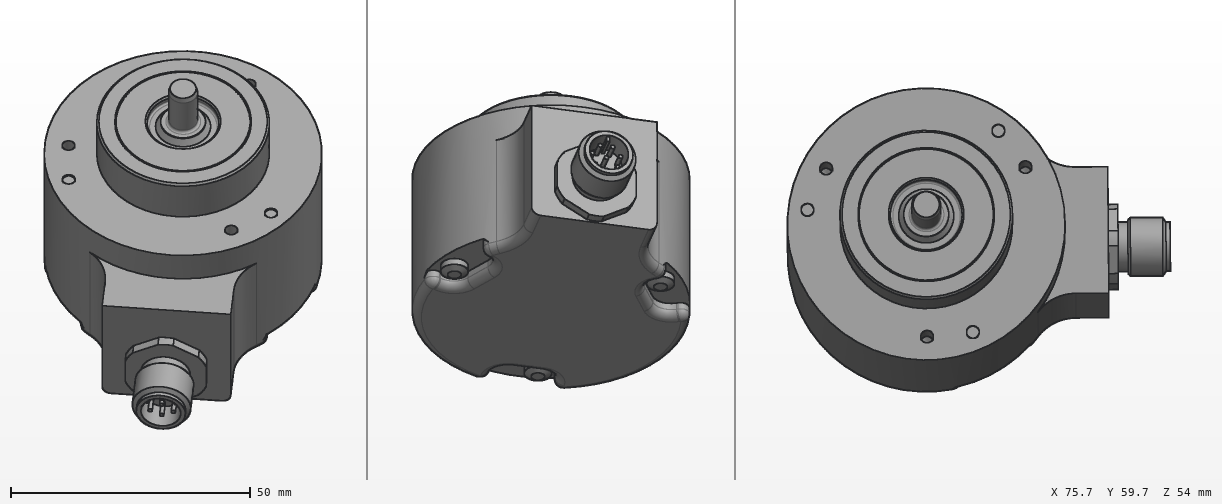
import cadquery as cq
import math

ARM_ANGLE = -30.0

RING_COUNT = 3
RING_STEP = 360.0 / RING_COUNT

body_radius = 29.0
body_height = 34.1
bottom_fillet = 1.9
boss_radius = 18.0
boss_top = 43.95
boss_chamfer = 0.45

gap_outer_radius = 14.25
gap_width = 0.2
gap_depth = 0.4

recess_radius = 7.5
recess_depth = 1.6
recess_chamfer = 0.4
recess_fillet = 0.45
hub_top_radius = 4.7
hub_base_radius = 5.75
hub_cone_top_depth = 0.2

shaft_radius = 3.0
shaft_top = 54.0
shaft_chamfer_radial = 0.3
shaft_chamfer_length = 1.05
shaft_root_fillet = 0.6

arm_end = 38.0
arm_half_width = 13.5
arm_height = 26.9
arm_blend_radius = 10.0

pocket_height = 3.3
pocket_back = 21.2
pocket_half_width = 7.05
pocket_corner_radius = 4.0
pocket_lip_radius = 2.0
pocket_overshoot = 3.8
pocket_roof_half_width = 8.55
pocket_first_angle = -60.0

screw_circle_radius = 25.0
screw_first_angle = -67.5
screw_head_radius = 2.9
screw_head_height = 1.45
screw_tip_radius = 1.45
screw_tip_height = 0.75
screw_hole_depth = 0.4

hole_diameter = 2.65
hole_radius = hole_diameter / 2
tapped_circle_radius = 24.0
tapped_first_angle = 30.0
tapped_depth = 6.05
drill_tip_angle = 118.0

connector_height = 9.4
nut_apothem = 8.5
nut_corner_radius = 9.0
nut_end = 40.1
neck_radius = 5.2
collar_start = 42.1
collar_radius = 5.6
collar_end = 42.65
barrel_radius = 6.1
barrel_end = 49.4
tip_start = 50.1
tip_radius = 5.15
tip_end = 51.0
socket_radius = 4.2
socket_bottom = 45.45

pin_count = 7
pin_circle_radius = 3.1
pin_radius = 0.45
pin_end = 48.9
key_width = 0.6
key_height = 1.3
key_overlap = 0.15
key_end = 50.4


def polar(radius, angle):
    return (radius * math.cos(math.radians(angle)), radius * math.sin(math.radians(angle)))


def ring_places(radius, first_angle):
    return [polar(radius, first_angle + i * RING_STEP) for i in range(RING_COUNT)]


def cylinder(radius, bottom, top):
    return cq.Workplane("XY").workplane(offset=bottom).circle(radius).extrude(top - bottom)


def arm():
    """Block whose sides blend into the round body with concave arcs."""
    centre_y = arm_half_width + arm_blend_radius
    centre_distance = body_radius + arm_blend_radius
    centre_x = math.sqrt(centre_distance**2 - centre_y**2)
    touch_angle = math.degrees(math.atan2(centre_y, centre_x))
    touch_x, touch_y = polar(body_radius, touch_angle)
    middle_angle = (touch_angle + 180.0 + 270.0) / 2
    step_x, step_y = polar(arm_blend_radius, middle_angle)
    middle_x = centre_x + step_x
    middle_y = centre_y + step_y
    return (
        cq.Workplane("XY")
        .moveTo(0, 0)
        .lineTo(touch_x, -touch_y)
        .threePointArc((middle_x, -middle_y), (centre_x, -arm_half_width))
        .lineTo(arm_end, -arm_half_width)
        .lineTo(arm_end, arm_half_width)
        .lineTo(centre_x, arm_half_width)
        .threePointArc((middle_x, middle_y), (touch_x, touch_y))
        .close()
        .extrude(arm_height)
    )


def screw_pocket(angle):
    """Cutter for a rounded pocket whose lips run smoothly into the rim of the body."""
    lip_y = pocket_half_width + pocket_lip_radius
    lip_x = math.sqrt((body_radius - pocket_lip_radius) ** 2 - lip_y**2)
    lip_angle = math.degrees(math.atan2(lip_y, lip_x))
    rim_x, rim_y = polar(body_radius, lip_angle)
    outer_x, outer_y = polar(body_radius + pocket_overshoot, lip_angle)
    step_x, step_y = polar(pocket_lip_radius, (lip_angle - 90.0) / 2)
    corner_x = pocket_back + pocket_corner_radius
    corner_y = pocket_half_width - pocket_corner_radius
    bend_step_x, bend_step_y = polar(pocket_corner_radius, 135.0)
    bend_x = corner_x + bend_step_x
    bend_y = corner_y + bend_step_y
    outline = (
        cq.Workplane("XY")
        .moveTo(outer_x, outer_y)
        .lineTo(rim_x, rim_y)
        .threePointArc((lip_x + step_x, lip_y + step_y), (lip_x, pocket_half_width))
        .lineTo(corner_x, pocket_half_width)
        .threePointArc((bend_x, bend_y), (pocket_back, corner_y))
        .lineTo(pocket_back, -corner_y)
        .threePointArc((bend_x, -bend_y), (corner_x, -pocket_half_width))
        .lineTo(lip_x, -pocket_half_width)
        .threePointArc((lip_x + step_x, -lip_y - step_y), (rim_x, -rim_y))
        .lineTo(outer_x, -outer_y)
        .close()
        .extrude(pocket_height)
    )
    bottom_half_width = pocket_roof_half_width + pocket_height
    leaning_sides = (
        cq.Workplane("YZ")
        .moveTo(-bottom_half_width, 0)
        .lineTo(bottom_half_width, 0)
        .lineTo(pocket_roof_half_width, pocket_height)
        .lineTo(-pocket_roof_half_width, pocket_height)
        .close()
        .extrude(body_radius + pocket_overshoot)
    )
    return outline.intersect(leaning_sides).rotate((0, 0, 0), (0, 0, 1), angle)


def housing():
    """Round body with its arm and screw pockets, rounded along the bottom except at the arm end."""
    shape = cylinder(body_radius, 0, body_height).union(arm())
    for i in range(RING_COUNT):
        shape = shape.cut(screw_pocket(pocket_first_angle + i * RING_STEP))
    return shape.faces("<Z").edges("not(>X)").fillet(bottom_fillet)


def boss():
    """Boss with the gap around its cover and the recess around the shaft."""
    gap = cylinder(gap_outer_radius, boss_top - gap_depth, boss_top).cut(
        cylinder(gap_outer_radius - gap_width, boss_top - gap_depth, boss_top)
    )
    recess_floor = boss_top - recess_depth
    chamfer_bottom = boss_top - recess_chamfer
    fillet_middle = recess_fillet * (1 - math.sqrt(0.5))
    recess = (
        cq.Workplane("XZ")
        .moveTo(0, boss_top)
        .lineTo(recess_radius + recess_chamfer, boss_top)
        .lineTo(recess_radius, chamfer_bottom)
        .lineTo(recess_radius, recess_floor + recess_fillet)
        .threePointArc(
            (recess_radius - fillet_middle, recess_floor + fillet_middle),
            (recess_radius - recess_fillet, recess_floor),
        )
        .lineTo(0, recess_floor)
        .close()
        .revolve(360, (0, 0, 0), (0, 1, 0))
    )
    return (
        cylinder(boss_radius, body_height, boss_top)
        .faces(">Z").edges().chamfer(boss_chamfer)
        .cut(gap)
        .cut(recess)
    )


def shaft():
    """Hub and shaft, turned as one profile."""
    root_radius = shaft_radius + shaft_root_fillet
    root_middle = shaft_root_fillet * (1 - math.sqrt(0.5))
    return (
        cq.Workplane("XZ")
        .moveTo(0, body_height)
        .lineTo(hub_base_radius, body_height)
        .lineTo(hub_base_radius, boss_top - recess_depth)
        .lineTo(hub_top_radius, boss_top - hub_cone_top_depth)
        .lineTo(hub_top_radius, boss_top)
        .lineTo(root_radius, boss_top)
        .threePointArc(
            (shaft_radius + root_middle, boss_top + root_middle),
            (shaft_radius, boss_top + shaft_root_fillet),
        )
        .lineTo(shaft_radius, shaft_top - shaft_chamfer_length)
        .lineTo(shaft_radius - shaft_chamfer_radial, shaft_top)
        .lineTo(0, shaft_top)
        .close()
        .revolve(360, (0, 0, 0), (0, 1, 0))
    )


def screw_head():
    """Tapered head hanging from the roof of a bottom pocket."""
    rim_z = pocket_height - screw_head_height
    return (
        cq.Workplane("XZ")
        .moveTo(0, pocket_height)
        .lineTo(screw_head_radius, pocket_height)
        .lineTo(screw_head_radius, rim_z)
        .lineTo(screw_tip_radius, rim_z - screw_tip_height)
        .lineTo(0, rim_z - screw_tip_height)
        .close()
        .revolve(360, (0, 0, 0), (0, 1, 0))
    )


def flange_holes(shape):
    """Blind tapped holes and the shallow holes over the screw ends."""
    tip_depth = hole_radius / math.tan(math.radians(drill_tip_angle / 2))
    drill = (
        cq.Workplane("XZ")
        .moveTo(0, body_height)
        .lineTo(hole_radius, body_height)
        .lineTo(hole_radius, body_height - tapped_depth)
        .lineTo(0, body_height - tapped_depth - tip_depth)
        .close()
        .revolve(360, (0, 0, 0), (0, 1, 0))
    )
    for x, y in ring_places(tapped_circle_radius, tapped_first_angle):
        shape = shape.cut(drill.translate((x, y, 0)))
    screw_hole = cylinder(hole_radius, body_height - screw_hole_depth, body_height)
    for x, y in ring_places(screw_circle_radius, screw_first_angle):
        shape = shape.cut(screw_hole.translate((x, y, 0)))
    return shape


def rod_along_x(radius, start, end, y=0.0, z=0.0):
    return cq.Workplane("YZ").workplane(offset=start).center(y, z).circle(radius).extrude(end - start)


def nut():
    """Hexagon with its corners turned round, standing on the end of the arm."""
    hexagon = (
        cq.Workplane("YZ").workplane(offset=arm_end)
        .polygon(6, 2 * nut_apothem, circumscribed=True)
        .extrude(nut_end - arm_end)
    )
    return hexagon.intersect(rod_along_x(nut_corner_radius, arm_end, nut_end))


def connector():
    """Connector along +X with a socket holding the pins and the key."""
    barrel = (
        cq.Workplane("XY")
        .moveTo(arm_end, 0)
        .lineTo(arm_end, neck_radius)
        .lineTo(collar_start, neck_radius)
        .lineTo(collar_start, collar_radius)
        .lineTo(collar_end, barrel_radius)
        .lineTo(barrel_end, barrel_radius)
        .lineTo(tip_start, tip_radius)
        .lineTo(tip_end, tip_radius)
        .lineTo(tip_end, 0)
        .close()
        .revolve(360, (0, 0, 0), (1, 0, 0))
    )
    shape = barrel.union(nut()).cut(rod_along_x(socket_radius, socket_bottom, tip_end))
    pin_step = 360.0 / pin_count
    for i in range(pin_count):
        y, z = polar(pin_circle_radius, 90.0 + (i + 0.5) * pin_step)
        shape = shape.union(rod_along_x(pin_radius, socket_bottom, pin_end, y, z))
    shape = shape.union(rod_along_x(pin_radius, socket_bottom, pin_end))
    key_length = key_end - socket_bottom
    key = cq.Workplane("XY").box(key_length, key_width, key_height, centered=(False, True, False))
    shape = shape.union(key.translate((socket_bottom, 0, socket_radius - key_height + key_overlap)))
    return shape.translate((0, 0, connector_height))


part = flange_holes(housing()).union(boss()).union(shaft()).union(connector())
for x, y in ring_places(screw_circle_radius, screw_first_angle):
    part = part.union(screw_head().translate((x, y, 0)))
result = part.rotate((0, 0, 0), (0, 0, 1), ARM_ANGLE)